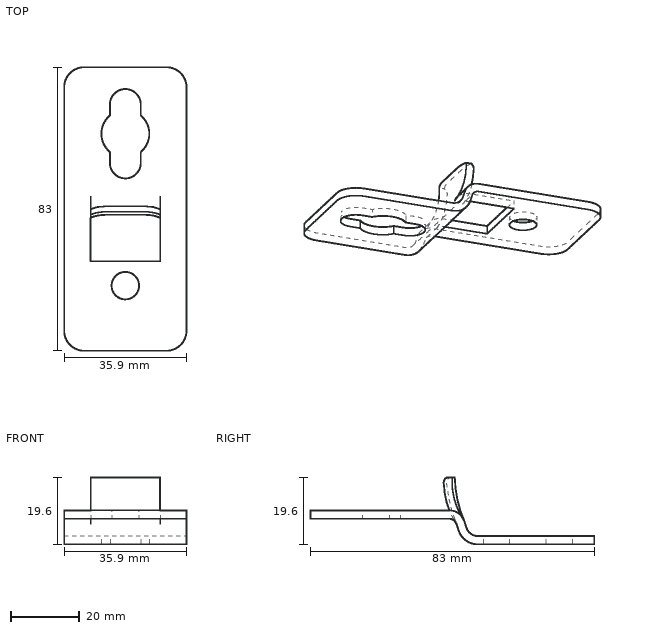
import cadquery as cq
import math

width = 35.85
length = 83.0
thickness = 2.5
step_height = 7.5
corner_radius = 6.0

bend_angle = math.radians(72)
lower_bend_start_y = 7.5
lower_bend_radius = 4.7
upper_bend_radius = 3.3

tab_width = 20.3
window_front_y = -15.3
total_height = 19.6
tab_rear_mid = (1.75, 12.1)
tab_rear_tip_y = 0.75
tab_front_mid = (-0.7, 11.6)
tab_front_tip = (-1.7, 17.35)
tip_round_mid = (-1.6, 18.75)
tip_flat_end_y = -0.8
tab_end_shift = 0.8
tab_curl_width = 4.15

round_hole_diameter = 8.0
round_hole_y = -22.4
keyhole_y = 22.0
keyhole_diameter = 13.95
keyhole_slot_width = 9.0
keyhole_slot_length = 26.1

half_thickness = thickness / 2
low_mid_z = half_thickness
high_mid_z = step_height + half_thickness
sine = math.sin(bend_angle)
cosine = math.cos(bend_angle)

bend_rise = (lower_bend_radius + upper_bend_radius) * (1 - cosine)
slope_length = (step_height - bend_rise) / sine
lower_center = (lower_bend_start_y, low_mid_z + lower_bend_radius)
slope_top = (
    lower_center[0] - lower_bend_radius * sine - slope_length * cosine,
    lower_center[1] - lower_bend_radius * cosine + slope_length * sine,
)
upper_center = (
    slope_top[0] - upper_bend_radius * sine,
    high_mid_z - upper_bend_radius,
)


def lower_bend_point(radius, angle):
    """Point on the lower bend, with the angle measured from straight down."""
    return (
        lower_center[0] - radius * math.sin(angle),
        lower_center[1] - radius * math.cos(angle),
    )


def upper_bend_point(radius, angle):
    """Point on the upper bend, with the angle measured from straight up."""
    return (
        upper_center[0] + radius * math.sin(angle),
        upper_center[1] + radius * math.cos(angle),
    )


slope_rear = upper_bend_point(upper_bend_radius + half_thickness, bend_angle)
slope_front = upper_bend_point(upper_bend_radius - half_thickness, bend_angle)


def make_lower_sheet():
    """Rear plate, lower bend and slope."""
    inner = lower_bend_radius - half_thickness
    outer = lower_bend_radius + half_thickness
    return (
        cq.Workplane("YZ")
        .moveTo(length / 2, 0)
        .lineTo(length / 2, thickness)
        .lineTo(lower_bend_start_y, thickness)
        .threePointArc(lower_bend_point(inner, bend_angle / 2), lower_bend_point(inner, bend_angle))
        .lineTo(*slope_rear)
        .lineTo(*slope_front)
        .lineTo(*lower_bend_point(outer, bend_angle))
        .threePointArc(lower_bend_point(outer, bend_angle / 2), (lower_bend_start_y, 0))
        .close()
        .extrude(width / 2, both=True)
    )


def make_upper_sheet():
    """Upper bend and front plate, opened by the window."""
    inner = upper_bend_radius - half_thickness
    outer = upper_bend_radius + half_thickness
    sheet = (
        cq.Workplane("YZ")
        .moveTo(*slope_rear)
        .threePointArc(upper_bend_point(outer, bend_angle / 2), upper_bend_point(outer, 0))
        .lineTo(-length / 2, step_height + thickness)
        .lineTo(-length / 2, step_height)
        .lineTo(*upper_bend_point(inner, 0))
        .threePointArc(upper_bend_point(inner, bend_angle / 2), slope_front)
        .close()
        .extrude(width / 2, both=True)
    )
    window_depth = slope_rear[0] - window_front_y
    window = cq.Workplane("XY").box(tab_width, window_depth, total_height, centered=(True, False, False))
    return sheet.cut(window.translate((0, window_front_y, 0)))


def tab_section(x, shift):
    """Side profile of the tab at x, with everything above its root moved forward by shift."""
    def moved(point):
        return (point[0] - shift, point[1])

    return (
        cq.Workplane("YZ", origin=(x, 0, 0))
        .moveTo(*slope_rear)
        .threePointArc(moved(tab_rear_mid), moved((tab_rear_tip_y, total_height)))
        .lineTo(*moved((tip_flat_end_y, total_height)))
        .threePointArc(moved(tip_round_mid), moved(tab_front_tip))
        .threePointArc(moved(tab_front_mid), slope_front)
        .close()
    )


def make_tab():
    """Tab with a flat middle and both sides curled forward along a parabola."""
    flat_half_width = tab_width / 2 - tab_curl_width
    tab = tab_section(0, 0).extrude(flat_half_width, both=True)
    sections = []
    for fraction in (0, 0.5, 1):
        x = flat_half_width + tab_curl_width * fraction
        sections.append(tab_section(x, tab_end_shift * fraction ** 2).val())
    curled_side = cq.Workplane(cq.Solid.makeLoft(sections))
    return tab.union(curled_side).union(curled_side.mirror("YZ"))


def make_hole_cutters():
    """Round mounting hole and double-ended keyhole."""
    round_hole = (
        cq.Workplane("XY").center(0, round_hole_y).circle(round_hole_diameter / 2).extrude(total_height)
    )
    keyhole = cq.Workplane("XY").center(0, keyhole_y).circle(keyhole_diameter / 2).extrude(total_height)
    slot = (
        cq.Workplane("XY")
        .center(0, keyhole_y)
        .slot2D(keyhole_slot_length, keyhole_slot_width, 90)
        .extrude(total_height)
    )
    return round_hole.union(keyhole.union(slot))


rounded_outline = (
    cq.Workplane("XY").rect(width, length).extrude(total_height).edges("|Z").fillet(corner_radius)
)
result = (
    make_lower_sheet()
    .union(make_upper_sheet())
    .intersect(rounded_outline)
    .union(make_tab())
    .cut(make_hole_cutters())
)